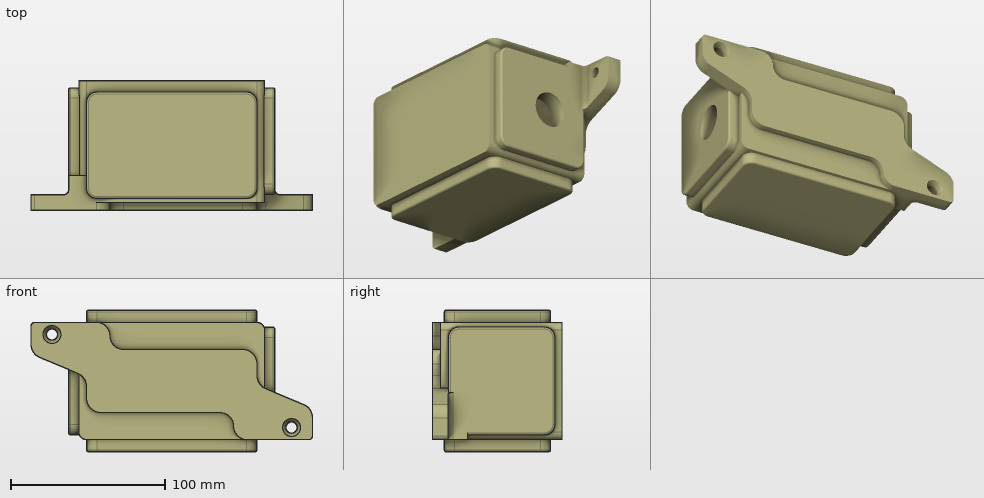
import cadquery as cq
import math

overall_width = 182.88
overall_depth = 84.14
overall_height = 91.95
body_width = 120.65
body_height = 76.2
body_corner_radius = 5.08
rim_depth = 5.08

pad_corner_radius = 6.7
pad_edge_radius = 1.3
cap_pad_width = 110.6
cap_pad_depth = 69.1
cap_pad_front = 7.65
end_pad_height = 70.0
end_pad_depth = 69.1
end_pad_front = 10.4
end_pad_span = 133.9

ear_thickness = 10.2
ear_corner_radius = 2.5
plate_waist_width = 110.6
plate_waist_height = 41.0
plate_bend_radius = 9.4
step_radius = 8.79
step_wall_x = 40.15
ear_slope_angle = 22.6
ear_slope_z_at_waist = 2.6

gusset_depth = 22.65
gusset_fillet = 3.175

screw_x = 77.75
screw_z = 30.2
screw_diameter = 7.1
countersink_diameter = 11.6
countersink_angle = 60

cable_hole_diameter = 23.6
cable_hole_y = 39.2
cable_hole_depth = 12.7


def xz_prism(sketch, y_start, y_end):
    """Extrude a sketch drawn on the XZ plane from y_start to y_end."""
    return sketch.extrude(y_start - y_end).translate((0, y_start, 0))


def make_body():
    outline = cq.Workplane("XZ").rect(body_width, body_height)
    return xz_prism(outline, rim_depth, overall_depth).edges("|Y").fillet(body_corner_radius)


def make_cap_pads():
    pads = cq.Workplane("XY").box(cap_pad_width, cap_pad_depth, overall_height)
    pads = pads.edges("|Z").fillet(pad_corner_radius)
    pads = pads.faces("<Z or >Z").edges().fillet(pad_edge_radius)
    return pads.translate((0, cap_pad_front + cap_pad_depth / 2, 0))


def make_end_pads():
    pads = cq.Workplane("XY").box(end_pad_span, end_pad_depth, end_pad_height)
    pads = pads.edges("|X").fillet(pad_corner_radius)
    pads = pads.faces("<X or >X").edges().fillet(pad_edge_radius)
    return pads.translate((0, end_pad_front + end_pad_depth / 2, 0))


def round_corners(blank, corners, radius):
    """Fillet the Y edges at the given XZ corners and at their half-turn twins."""
    for x, z in corners:
        for side in (1, -1):
            corner = cq.selectors.NearestToPointSelector((side * x, gusset_depth / 2, side * z))
            blank = blank.edges("|Y").edges(corner).fillet(radius)
    return blank


def make_plate_blank():
    """Mounting plate outline, extruded to the full depth of the gussets."""
    half_width = overall_width / 2
    half_height = body_height / 2
    half_waist = plate_waist_width / 2
    waist_z = plate_waist_height / 2
    ear_reach = half_width - half_waist
    ear_slope_z_at_tip = ear_slope_z_at_waist + ear_reach * math.tan(math.radians(ear_slope_angle))

    step_inner = (-step_wall_x, waist_z)
    step_outer = (-step_wall_x, half_height)
    ear_corner = (-half_width, half_height)
    ear_slope_tip = (-half_width, ear_slope_z_at_tip)
    ear_slope_root = (-half_waist, ear_slope_z_at_waist)
    waist_corner = (-half_waist, -waist_z)
    half_outline = [step_inner, step_outer, ear_corner, ear_slope_tip, ear_slope_root, waist_corner]
    outline = half_outline + [(-x, -z) for x, z in half_outline]
    blank = xz_prism(cq.Workplane("XZ").polyline(outline).close(), 0, gusset_depth)
    blank = round_corners(blank, [ear_corner], ear_corner_radius)
    blank = round_corners(blank, [step_inner, step_outer], step_radius)
    return round_corners(blank, [ear_slope_tip, ear_slope_root, waist_corner], plate_bend_radius)


def make_plate():
    """Plate with thin ears and deeper gussets, cut from the blank by its XY profile."""
    ears = cq.Workplane("XY").box(overall_width, ear_thickness, body_height, centered=(True, False, True))
    gussets = cq.Workplane("XY").box(end_pad_span, gusset_depth, body_height, centered=(True, False, True))
    profile = ears.union(gussets)
    for side in (1, -1):
        inner_corner = cq.selectors.NearestToPointSelector((side * end_pad_span / 2, ear_thickness, 0))
        profile = profile.edges("|Z").edges(inner_corner).fillet(gusset_fillet)
    return make_plate_blank().intersect(profile)


def make_screw_hole(x, z):
    """Countersunk hole through an ear, the countersink opening on the mounting face."""
    shank = cq.Workplane("XZ").center(x, z).circle(screw_diameter / 2)
    cone_depth = (countersink_diameter - screw_diameter) / 2 / math.tan(math.radians(countersink_angle / 2))
    cone = cq.Solid.makeCone(
        countersink_diameter / 2, screw_diameter / 2, cone_depth, cq.Vector(x, 0, z), cq.Vector(0, 1, 0)
    )
    return xz_prism(shank, 0, ear_thickness).union(cq.Workplane(cone))


def make_cable_hole():
    """Blind hole sunk from the face of the -X end pad."""
    hole = cq.Workplane("YZ").center(cable_hole_y, 0).circle(cable_hole_diameter / 2)
    return hole.extrude(cable_hole_depth).translate((-end_pad_span / 2, 0, 0))


result = make_body().union(make_cap_pads()).union(make_end_pads()).union(make_plate())
for side in (1, -1):
    result = result.cut(make_screw_hole(-side * screw_x, side * screw_z))
result = result.cut(make_cable_hole())